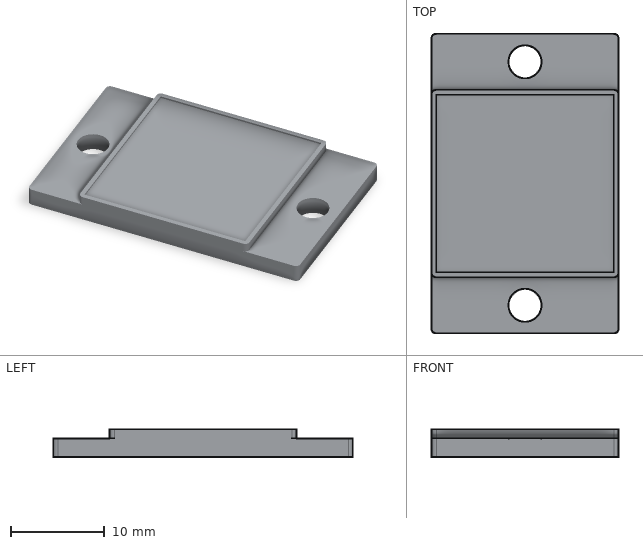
import cadquery as cq

plate_width = 20.0
plate_length = 32.0
plate_thickness = 2.0
corner_radius = 0.5

pad_side = plate_width
pad_height = 1.0

rim_width = 0.5
recess_side = pad_side - 2 * rim_width
recess_depth = 0.2

hole_diameter = 3.5
hole_spacing = 26.0


def rounded_block(width, length, height, bottom_z):
    """Upright block centred on the Z axis, with rounded vertical edges."""
    block = cq.Workplane("XY").workplane(offset=bottom_z).rect(width, length).extrude(height)
    return block.edges("|Z").fillet(corner_radius)


def recess_cutter():
    """Sharp-cornered block that opens the recess from the top of the pad."""
    top_z = plate_thickness + pad_height
    return cq.Workplane("XY").workplane(offset=top_z).rect(recess_side, recess_side).extrude(-recess_depth)


def hole_cutters():
    """Cylinders that run right through the plate."""
    centres = [(0, -hole_spacing / 2), (0, hole_spacing / 2)]
    return cq.Workplane("XY").pushPoints(centres).circle(hole_diameter / 2).extrude(plate_thickness)


plate = rounded_block(plate_width, plate_length, plate_thickness, 0)
pad = rounded_block(pad_side, pad_side, pad_height, plate_thickness)
result = plate.union(pad).cut(recess_cutter()).cut(hole_cutters())